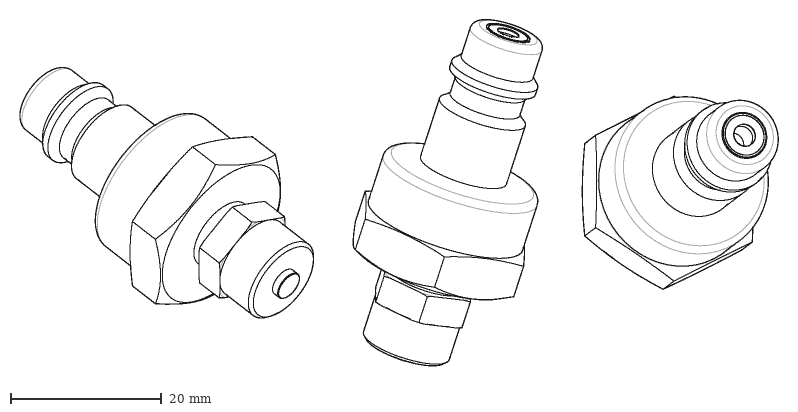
import cadquery as cq
import math

collar_start = 5.0
collar_rim_start = 6.0
collar_rim_end = 7.0
groove_start = 8.05
groove_end = 10.4
shank_start = 11.5
body_start = 19.98
nut_start = 27.95
nut_end = 34.0
small_nut_start = 36.0
small_nut_end = 40.0
sleeve_end = 45.9
total_length = 47.0

nose_diameter = 10.0
groove_diameter = 9.75
shank_diameter = 12.0
body_diameter = 21.5
pin_diameter = 4.0

nut_flats = 22.0
nut_chamfer_start_diameter = 21.6
nut_front_chamfer_angle = 15.0
nut_rear_chamfer_angle = 30.0
small_nut_flats = 12.0
small_nut_chamfer_start_diameter = 12.92
small_nut_chamfer_angle = 15.0

nose_fillet = 1.0
body_cone_depth = 0.6
body_fillet = 1.0
sleeve_chamfer = 0.45
pin_chamfer = 0.1
flank_sag = 0.1

bore_diameter = 3.0
bore_depth = 4.7
chamber_diameter = 6.3
chamber_depth = 1.0
lip_thickness = 0.15
ring_inner_diameter = 5.45
ring_outer_diameter = 6.0
ring_depth = 0.1


def cylinder(start, end, diameter):
    """Solid cylinder on the X axis between two stations."""
    return cq.Workplane("YZ", origin=(start, 0, 0)).circle(diameter / 2).extrude(end - start)


def revolve_about_x(profile):
    """Turn a closed XY profile about the X axis."""
    return profile.revolve(360, (0, 0, 0), (1, 0, 0))


def concave_midpoint(start, end):
    """Middle of a groove flank, sagging from its chord into the metal."""
    run = end[0] - start[0]
    rise = end[1] - start[1]
    chord = math.hypot(run, rise)
    middle_x = (start[0] + end[0]) / 2 + flank_sag * rise / chord
    middle_y = (start[1] + end[1]) / 2 - flank_sag * run / chord
    return middle_x, middle_y


def chamfered_hex(start, end, flats, chamfer_diameter, front_angle, rear_angle):
    """Hexagon whose corners are cut by a cone at each end."""
    corners = flats / math.cos(math.pi / 6)
    prism = (
        cq.Workplane("YZ", origin=(start, 0, 0))
        .transformed(rotate=(0, 0, 90))
        .polygon(6, corners)
        .extrude(end - start)
    )
    face_radius = chamfer_diameter / 2
    corner_radius = corners / 2
    drop = corner_radius - face_radius
    front_run = drop * math.tan(math.radians(front_angle))
    rear_run = drop * math.tan(math.radians(rear_angle))
    envelope = revolve_about_x(
        cq.Workplane("XY").polyline([
            (start, 0),
            (start, face_radius),
            (start + front_run, corner_radius),
            (end - rear_run, corner_radius),
            (end, face_radius),
            (end, 0),
        ]).close()
    )
    return prism.intersect(envelope)


def plug():
    """Nose, locking collar, groove with hollow flanks, and shank."""
    shank_radius = shank_diameter / 2
    groove_radius = groove_diameter / 2
    rim_end = (collar_rim_end, shank_radius)
    floor_start = (groove_start, groove_radius)
    floor_end = (groove_end, groove_radius)
    shank_edge = (shank_start, shank_radius)
    turned = revolve_about_x(
        cq.Workplane("XY")
        .lineTo(0, nose_diameter / 2)
        .lineTo(collar_start, nose_diameter / 2)
        .lineTo(collar_rim_start, shank_radius)
        .lineTo(*rim_end)
        .threePointArc(concave_midpoint(rim_end, floor_start), floor_start)
        .lineTo(*floor_end)
        .threePointArc(concave_midpoint(floor_end, shank_edge), shank_edge)
        .lineTo(nut_start, shank_radius)
        .lineTo(nut_start, 0)
        .close()
    )
    return turned.faces("<X").edges().fillet(nose_fillet)


def body():
    """Large round body with a slightly conical front and a rounded edge."""
    radius = body_diameter / 2
    turned = revolve_about_x(
        cq.Workplane("XY").polyline([
            (body_start, 0),
            (body_start, shank_diameter / 2),
            (body_start + body_cone_depth, radius),
            (nut_start, radius),
            (nut_start, 0),
        ]).close()
    )
    front_edge = turned.edges(cq.selectors.RadiusNthSelector(-1)).edges("<X")
    return front_edge.fillet(body_fillet)


def nose_opening():
    """Stepped bore behind a thin lip, and the shallow ring in the lip face."""
    chamber_end = lip_thickness + chamber_depth
    bore = cylinder(0, bore_depth, bore_diameter)
    chamber = cylinder(lip_thickness, chamber_end, chamber_diameter)
    ring = cylinder(0, ring_depth, ring_outer_diameter).cut(cylinder(0, ring_depth, ring_inner_diameter))
    return bore.union(chamber).union(ring)


nut = chamfered_hex(
    nut_start, nut_end, nut_flats, nut_chamfer_start_diameter,
    nut_front_chamfer_angle, nut_rear_chamfer_angle,
)
neck = cylinder(nut_end, small_nut_start, nose_diameter)
small_nut = chamfered_hex(
    small_nut_start, small_nut_end, small_nut_flats, small_nut_chamfer_start_diameter,
    small_nut_chamfer_angle, small_nut_chamfer_angle,
)
sleeve = cylinder(small_nut_end, sleeve_end, shank_diameter).faces(">X").chamfer(sleeve_chamfer)
pin = cylinder(sleeve_end, total_length, pin_diameter).faces(">X").chamfer(pin_chamfer)

result = plug()
for section in (body(), nut, neck, small_nut, sleeve, pin):
    result = result.union(section)
result = result.cut(nose_opening())